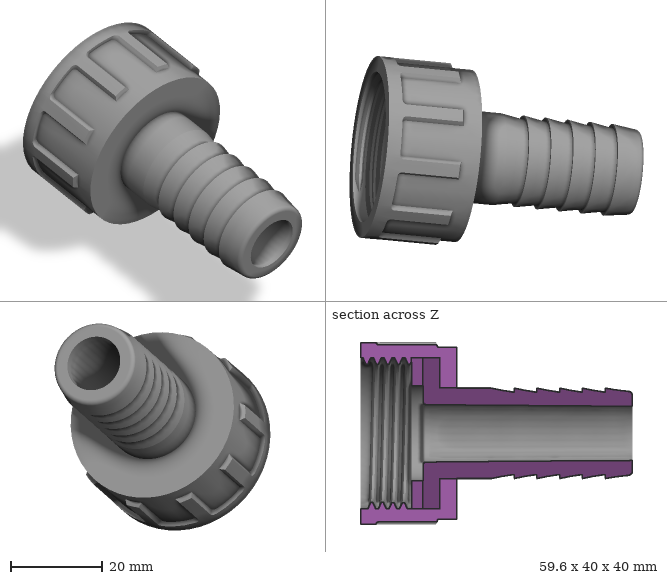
import cadquery as cq
import math

OVERALL_LENGTH = 59.6

NUT_LENGTH = 21.1
FLANGE_DIAMETER = 40.0
FLANGE_RADIUS = FLANGE_DIAMETER / 2
FLANGE_LENGTH = 3.05
BODY_RADIUS = 18.95

RIB_COUNT = 10
RIB_END = 16.55
RIB_END_SLOPE = 0.4
RIB_TOP_WIDTH = 2.85
RIB_BASE_WIDTH = 3.9
RIB_CORNER_RADIUS = 0.95
GAP_FLOOR_RADIUS = 17.9

BORE_RADIUS = 16.55
THREAD_CREST_RADIUS = 15.2
THREAD_LENGTH = 9.7
THREAD_TURNS = 4.2
THREAD_PITCH = THREAD_LENGTH / THREAD_TURNS
THREAD_START = 1.4
RIDGE_BASE_WIDTH = 1.8
RIDGE_CREST_WIDTH = 0.55
RIDGE_ROOTING = 0.25
RUNOUT_LENGTH = 4.75
RUNOUT_TIP_SCALE = 0.05

WASHER_FRONT = 11.2
WASHER_THICKNESS = 2.5
WASHER_INNER_RADIUS = 10.5

COLLAR_FRONT = WASHER_FRONT + WASHER_THICKNESS
COLLAR_THICKNESS = 3.6
COLLAR_BACK = COLLAR_FRONT + COLLAR_THICKNESS
TAIL_DIAMETER = 20.2
TAIL_RADIUS = TAIL_DIAMETER / 2
INLET_RADIUS = 6.5
OUTLET_RADIUS = 6.15
INLET_FILLET = 0.6
TIP_FILLET = 0.95

BARB_COUNT = 6
BARB_START = 28.6
LAST_BARB_START = 53.5
BARB_PITCH = (LAST_BARB_START - BARB_START) / (BARB_COUNT - 1)
BARB_ROOT_DIAMETER = 18.55
BARB_ROOT_RADIUS = BARB_ROOT_DIAMETER / 2
BARB_ROOT_WIDTH = 0.35

AXIS_START = (0, 0, 0)
AXIS_END = (1, 0, 0)


def turned(outline):
    """Revolve a closed (x, radius) outline, drawn in the XZ plane, about the X axis."""
    return outline.close().revolve(360, AXIS_START, AXIS_END)


def turned_polygon(points):
    return turned(cq.Workplane("XZ").polyline(points))


def nut_core():
    """Turned nut without flange and ribs: body outside, bore and tail hole inside."""
    return turned_polygon([
        (0, BORE_RADIUS),
        (0, BODY_RADIUS),
        (NUT_LENGTH, BODY_RADIUS),
        (NUT_LENGTH, TAIL_RADIUS),
        (COLLAR_BACK, TAIL_RADIUS),
        (COLLAR_BACK, BORE_RADIUS),
    ])


def flange_and_rib_sleeve():
    """Sleeve as thick as the flange, ending in a slope; the gaps cut into it leave the ribs."""
    end_draft = RIB_END_SLOPE / (FLANGE_RADIUS - BODY_RADIUS)
    return turned_polygon([
        (0, BORE_RADIUS),
        (0, FLANGE_RADIUS),
        (RIB_END, FLANGE_RADIUS),
        (RIB_END + (FLANGE_RADIUS - GAP_FLOOR_RADIUS) * end_draft, GAP_FLOOR_RADIUS),
        (RIB_END, BORE_RADIUS),
    ])


def rib_half_width(radius):
    """Half the width of a rib, whose sides are drafted, at a given radius."""
    draft = (RIB_BASE_WIDTH - RIB_TOP_WIDTH) / 2 / (FLANGE_RADIUS - BODY_RADIUS)
    return RIB_TOP_WIDTH / 2 + (FLANGE_RADIUS - radius) * draft


def rib_gap():
    """Cutter for the gap between two ribs, with rounded corners at the flange; the core fills its floor."""
    outer_radius = 2 * FLANGE_RADIUS - BODY_RADIUS
    rib_angle = math.radians(360 / RIB_COUNT)

    def on_first_rib(radius):
        return radius, rib_half_width(radius)

    def on_next_rib(radius):
        half_width = rib_half_width(radius)
        return (
            radius * math.cos(rib_angle) + half_width * math.sin(rib_angle),
            radius * math.sin(rib_angle) - half_width * math.cos(rib_angle),
        )

    block = (
        cq.Workplane("YZ", origin=(FLANGE_LENGTH, 0, 0))
        .polyline([
            on_first_rib(GAP_FLOOR_RADIUS),
            on_first_rib(outer_radius),
            on_next_rib(outer_radius),
            on_next_rib(GAP_FLOOR_RADIUS),
        ])
        .close()
        .extrude(NUT_LENGTH - FLANGE_LENGTH)
    )
    mid_angle = 180 / RIB_COUNT
    block = block.rotate(AXIS_START, AXIS_END, -mid_angle)
    block = block.faces("<X").edges("<Z or >Z").fillet(RIB_CORNER_RADIUS)
    return block.rotate(AXIS_START, AXIS_END, mid_angle)


def ridge_section(scale=1.0):
    """Thread ridge section at the +Y side as (x, y) points, shrunk towards the bore wall."""
    root = BORE_RADIUS + RIDGE_ROOTING
    flank_slope = (RIDGE_BASE_WIDTH - RIDGE_CREST_WIDTH) / 2 / (BORE_RADIUS - THREAD_CREST_RADIUS)
    half_crest = RIDGE_CREST_WIDTH / 2
    half_root = half_crest + (root - THREAD_CREST_RADIUS) * flank_slope
    crest = root - (root - THREAD_CREST_RADIUS) * scale
    return [
        (THREAD_START - half_root * scale, root),
        (THREAD_START - half_crest * scale, crest),
        (THREAD_START + half_crest * scale, crest),
        (THREAD_START + half_root * scale, root),
    ]


def thread_ridge():
    """Helical ridge starting at +Y, cut off at the washer."""
    helix = (
        cq.Wire.makeHelix(THREAD_PITCH, THREAD_LENGTH, BORE_RADIUS)
        .rotate(cq.Vector(0, 0, 0), cq.Vector(1, 1, 1), 120)
        .translate(cq.Vector(THREAD_START, 0, 0))
    )
    section = cq.Workplane("XY").polyline(ridge_section()).close()
    ridge = section.sweep(cq.Workplane(helix), isFrenet=True)
    threaded_zone = cq.Workplane("YZ").circle(FLANGE_RADIUS).extrude(WASHER_FRONT)
    return ridge.intersect(threaded_zone)


def thread_runout():
    """Tapering tongue that leads from the bore wall up to the start of the ridge."""
    return (
        cq.Workplane("XY")
        .polyline(ridge_section()).close()
        .workplane(offset=-RUNOUT_LENGTH)
        .polyline(ridge_section(RUNOUT_TIP_SCALE)).close()
        .loft(ruled=True)
    )


def make_nut():
    sleeve = flange_and_rib_sleeve()
    gap = rib_gap()
    for i in range(RIB_COUNT):
        sleeve = sleeve.cut(gap.rotate(AXIS_START, AXIS_END, i * 360 / RIB_COUNT))
    return nut_core().union(sleeve).union(thread_ridge()).union(thread_runout())


def make_washer():
    return turned_polygon([
        (WASHER_FRONT, WASHER_INNER_RADIUS),
        (WASHER_FRONT, BORE_RADIUS),
        (COLLAR_FRONT, BORE_RADIUS),
        (COLLAR_FRONT, WASHER_INNER_RADIUS),
    ])


def make_hose_tail():
    """Collar, plain shank, barbs and a slightly tapering through bore."""
    outline = (
        cq.Workplane("XZ")
        .moveTo(COLLAR_FRONT, INLET_RADIUS)
        .lineTo(COLLAR_FRONT, BORE_RADIUS)
        .lineTo(COLLAR_BACK, BORE_RADIUS)
        .lineTo(COLLAR_BACK, TAIL_RADIUS)
        .lineTo(BARB_START, TAIL_RADIUS)
    )
    for i in range(1, BARB_COUNT):
        step = BARB_START + i * BARB_PITCH
        outline = (
            outline
            .lineTo(step - BARB_ROOT_WIDTH, BARB_ROOT_RADIUS)
            .lineTo(step, BARB_ROOT_RADIUS)
            .lineTo(step, TAIL_RADIUS)
        )
    outline = outline.lineTo(OVERALL_LENGTH, BARB_ROOT_RADIUS).lineTo(OVERALL_LENGTH, OUTLET_RADIUS)
    tail = turned(outline)
    tail = tail.faces(">X").edges().edges(cq.selectors.RadiusNthSelector(-1)).fillet(TIP_FILLET)
    return tail.faces("<X").edges().edges(cq.selectors.RadiusNthSelector(0)).fillet(INLET_FILLET)


nut = make_nut()
washer = make_washer()
hose_tail = make_hose_tail()

result = cq.Compound.makeCompound([*nut.solids().vals(), washer.val(), *hose_tail.solids().vals()])